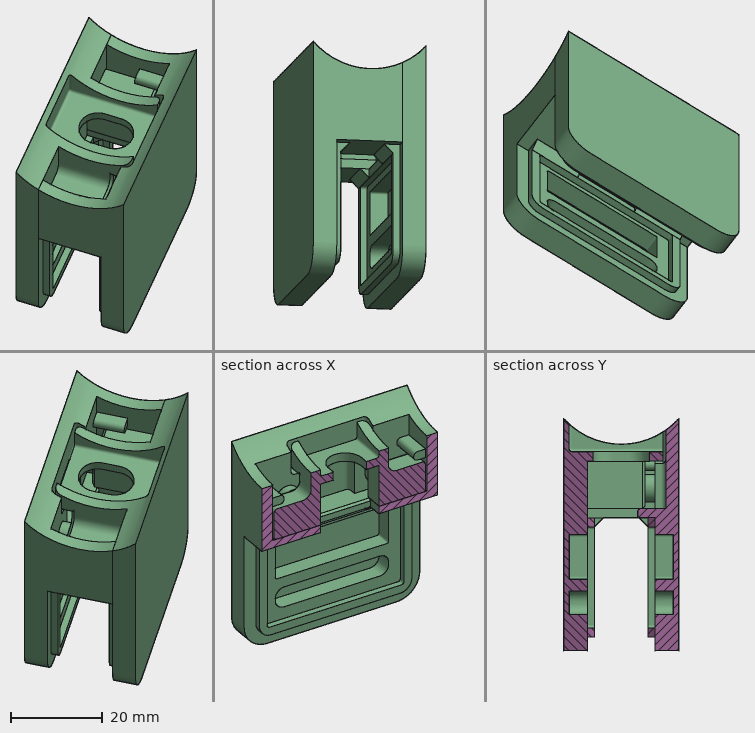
import cadquery as cq
import math

WIDTH = 25.0
DEPTH = 45.0
HEIGHT = 50.55
SADDLE_RADIUS = 16.85

JAW_THICKNESS = 5.2
JAW_CORNER = 5.95
SLOT_TOP = 28.95
JAW_FACE = WIDTH / 2 - JAW_THICKNESS

POCKET_DEPTH = 4.0
POCKET_HALF = 14.5
LOWER_POCKET = (7.95, 13.0, 2.3)
UPPER_POCKET = (15.6, 25.3, 0.5)

PAD_THICKNESS = 1.5
PAD_MARGIN = 3.0
PAD_BORDER = 2.0
PAD_OPENING_CORNER = 0.6
LIP = 1.95

CAVITY_HALF = 19.65
FLOOR_THICKNESS = 2.0
FLOOR_TOP = SLOT_TOP + FLOOR_THICKNESS
OPENING_EDGE = 3.55
OPENING_CHAMFER = 0.5

TONGUE_HALF = 9.95
TONGUE_END = 9.1
TONGUE_CORNER = 1.5
TONGUE_BOTTOM = 41.25
TONGUE_FLOOR = 43.35
TRAY_HALF = 7.5
TRAY_START = -11.3
TRAY_ROUND = 0.6
BOLT_SLOT_LENGTH = 12.2
BOLT_SLOT_WIDTH = 8.4

FOOT_END = 5.2
FOOT_TOP = 38.65
FOOT_OUTER = 19.45
FOOT_ROUND = 1.0
FOOT_FILLET = 2.0
FOOT_END_CHAMFER = 0.6

LUG_LENGTH = 7.0
LUG_INNER = 16.6
LUG_BOTTOM = 39.3
LUG_TOP = 41.45
LUG_ROUND = 1.05
BOSS_RADIUS = 3.05
BOSS_Y = 11.4
BOSS_Z = 35.4

END_CLEARANCE = 0.6
SIDE_CLEARANCE = 0.5
RECESS_END = TONGUE_END + END_CLEARANCE
RECESS_CORNER = 1.0
BOLT_RECESS_HALF = 5.75
BOLT_RECESS_CORNER = 1.0


def block(x_range, y_range, z_range):
    """Rectangular block between the given limits."""
    size = [high - low for low, high in (x_range, y_range, z_range)]
    corner = (x_range[0], y_range[0], z_range[0])
    return cq.Workplane("XY").box(*size, centered=False).translate(corner)


def mirrored_in_y(shape):
    """The shape together with its copy on the other side of the XZ plane."""
    return shape.union(shape.mirror("XZ"))


def saddle():
    """Cylinder of the concave seat, along Y, that passes through both top corners."""
    drop = math.sqrt(SADDLE_RADIUS**2 - (WIDTH / 2) ** 2)
    return (
        cq.Workplane("XZ")
        .center(0, HEIGHT + drop)
        .circle(SADDLE_RADIUS)
        .extrude(DEPTH, both=True)
    )


def jaw():
    """Jaw on the +X side, with rounded lower corners and pockets in its gripping face."""
    body = block((JAW_FACE, WIDTH / 2), (-DEPTH / 2, DEPTH / 2), (0, HEIGHT))
    body = body.edges("|X and <Z").fillet(JAW_CORNER)
    for bottom, top, corner in (LOWER_POCKET, UPPER_POCKET):
        pocket = block(
            (JAW_FACE, JAW_FACE + POCKET_DEPTH), (-POCKET_HALF, POCKET_HALF), (bottom, top)
        )
        body = body.cut(pocket.edges("|X").fillet(corner))
    return body


def bridge():
    """Box with a floor that spans the slot and is open towards the cover."""
    shell = block((-JAW_FACE, JAW_FACE), (-DEPTH / 2, DEPTH / 2), (SLOT_TOP, HEIGHT))
    cavity = block((-JAW_FACE, JAW_FACE), (-CAVITY_HALF, CAVITY_HALF), (FLOOR_TOP, HEIGHT))
    opening = block((-JAW_FACE, OPENING_EDGE), (-TRAY_HALF, TRAY_HALF), (SLOT_TOP, FLOOR_TOP))
    shell = shell.cut(cavity).cut(opening)
    rim = cq.selectors.NearestToPointSelector((OPENING_EDGE, 0, FLOOR_TOP))
    return shell.edges(rim).chamfer(OPENING_CHAMFER)


def wall_recesses():
    """Wide recess around the end of the tongue and a narrow one below it for the bolt."""
    half = TONGUE_HALF + SIDE_CLEARANCE
    wide = block((0, RECESS_END), (-half, half), (TONGUE_BOTTOM - SIDE_CLEARANCE, HEIGHT))
    wide = wide.edges("(|Z and >X) or (<Z and (not <X))").fillet(RECESS_CORNER)
    narrow = block(
        (0, RECESS_END), (-BOLT_RECESS_HALF, BOLT_RECESS_HALF), (FLOOR_TOP, TONGUE_BOTTOM)
    )
    narrow = narrow.edges("|Z and >X").fillet(BOLT_RECESS_CORNER)
    wall_side = block((JAW_FACE, WIDTH / 2), (-DEPTH / 2, DEPTH / 2), (0, HEIGHT))
    return wide.union(narrow).intersect(wall_side)


def lug():
    """Bar above a foot of the cover, rounded along its inner edges."""
    bar = block((JAW_FACE - LUG_LENGTH, JAW_FACE), (LUG_INNER, CAVITY_HALF), (LUG_BOTTOM, LUG_TOP))
    return bar.edges("|X and <Y").fillet(LUG_ROUND)


def boss():
    """Round boss between the housing wall and the end of a foot."""
    return (
        cq.Workplane("YZ", origin=(FOOT_END, 0, 0))
        .center(BOSS_Y, BOSS_Z)
        .circle(BOSS_RADIUS)
        .extrude(JAW_FACE - FOOT_END)
    )


def make_housing():
    """Jaw on the +X side with the bridge, lugs and bosses."""
    body = jaw().union(bridge()).cut(wall_recesses())
    body = body.union(mirrored_in_y(lug())).union(mirrored_in_y(boss()))
    return body.cut(saddle())


def foot():
    """Foot of the cover with a fillet up to the tongue wall."""
    outline = (
        cq.Workplane("YZ", origin=(-JAW_FACE, 0, 0))
        .moveTo(TRAY_HALF, FLOOR_TOP)
        .lineTo(FOOT_OUTER, FLOOR_TOP)
        .lineTo(FOOT_OUTER, FOOT_TOP - FOOT_ROUND)
        .radiusArc((FOOT_OUTER - FOOT_ROUND, FOOT_TOP), -FOOT_ROUND)
        .lineTo(TONGUE_HALF + FOOT_FILLET, FOOT_TOP)
        .radiusArc((TONGUE_HALF, FOOT_TOP + FOOT_FILLET), FOOT_FILLET)
        .lineTo(TONGUE_HALF, TONGUE_FLOOR)
        .lineTo(TRAY_HALF, TONGUE_FLOOR)
        .close()
    )
    body = outline.extrude(FOOT_END + JAW_FACE)
    return body.faces(">X").edges().chamfer(FOOT_END_CHAMFER)


def tongue():
    """Head that ends inside the wide wall recess, rounded at its end and along its underside."""
    head = block((-JAW_FACE, TONGUE_END), (-TONGUE_HALF, TONGUE_HALF), (TONGUE_BOTTOM, HEIGHT))
    return head.edges("(|Z and >X) or (|X and <Z)").fillet(TONGUE_CORNER)


def tray():
    """Space inside the tongue, open at its end, with rounded edges along its floor."""
    space = block((TRAY_START, WIDTH / 2), (-TRAY_HALF, TRAY_HALF), (TONGUE_FLOOR, HEIGHT))
    return space.edges("<Z or (|Z and <X)").edges("not >X").fillet(TRAY_ROUND)


def bolt_slot():
    """Obround hole through the tongue floor."""
    return (
        cq.Workplane("XY", origin=(0, 0, TONGUE_BOTTOM))
        .slot2D(BOLT_SLOT_LENGTH, BOLT_SLOT_WIDTH)
        .extrude(TONGUE_FLOOR - TONGUE_BOTTOM)
    )


def make_cover():
    """Jaw on the -X side with the tongue and its two feet."""
    body = jaw().mirror("YZ").union(mirrored_in_y(foot())).union(tongue())
    return body.cut(tray()).cut(bolt_slot()).cut(saddle())


def make_pad():
    """Pad on the +X jaw: a frame with a chamfered lip on both sides of the bolt."""
    half = DEPTH / 2 - PAD_MARGIN
    inner_face = JAW_FACE - PAD_THICKNESS
    frame = block((inner_face, JAW_FACE), (-half, half), (PAD_MARGIN, SLOT_TOP))
    frame = frame.edges("|X and <Z").fillet(JAW_CORNER - PAD_MARGIN)
    lip = (
        cq.Workplane("XZ")
        .polyline(
            [(inner_face, SLOT_TOP - LIP), (inner_face, SLOT_TOP), (inner_face - LIP, SLOT_TOP)]
        )
        .close()
        .extrude(half, both=True)
    )
    lip = lip.cut(block((0, JAW_FACE), (-TRAY_HALF, TRAY_HALF), (0, HEIGHT)))
    opening_half = half - PAD_BORDER
    opening = block(
        (inner_face, JAW_FACE),
        (-opening_half, opening_half),
        (PAD_MARGIN + PAD_BORDER, SLOT_TOP - PAD_BORDER),
    )
    opening = opening.edges("|X").fillet(PAD_OPENING_CORNER)
    return frame.union(lip).cut(opening)


housing = make_housing()
cover = make_cover()
pad = make_pad()
pads = [pad, pad.mirror("YZ")]

result = cq.Compound.makeCompound([housing.val(), cover.val(), *[p.val() for p in pads]])